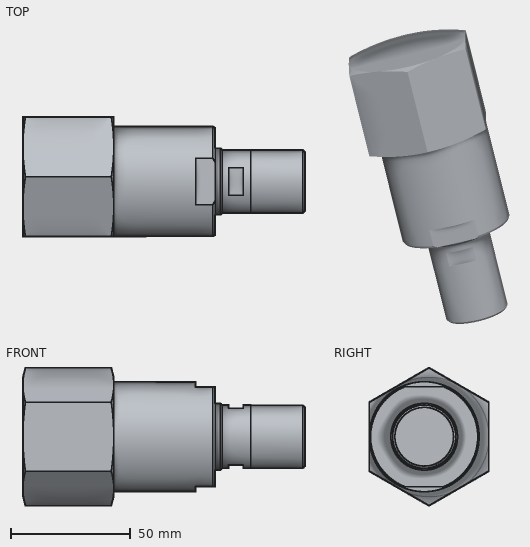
import cadquery as cq
import math

across_flats = 50.0
head_length = 38.0
head_bevel_angle = 15.0
rim_clearance = 1.2

axis_offset_y = -2.0

body_diameter = 46.0
body_end = 80.4
body_chamfer_length = 1.0
body_chamfer_depth = 0.6
body_flat_start = 72.2
body_flat_height = 20.9

collar_diameter = 28.0
collar_end = 82.6
land_start = 83.3
land_diameter = 26.5
land_end = 95.3
shaft_diameter = 26.4
tip_diameter = 24.5
total_length = 118.0
shaft_flat_start = 86.0
shaft_flat_end = 92.0
shaft_flat_height = 11.9


def revolve_profile(outline):
    """Solid of revolution about X from (x, radius) points."""
    closed = [(outline[0][0], 0)] + outline + [(outline[-1][0], 0)]
    return cq.Workplane("XY").polyline(closed).close().revolve(360, (0, 0, 0), (1, 0, 0))


def make_head():
    """Hexagonal prism, corners up and down, bevelled by a cone at both ends."""
    across_corners = across_flats / math.cos(math.pi / 6)
    hexagon = (
        cq.Workplane("YZ")
        .polygon(6, across_corners)
        .extrude(head_length)
        .rotate((0, 0, 0), (1, 0, 0), 90)
    )
    face_radius = across_flats / 2
    rim_radius = across_corners / 2 + rim_clearance
    bevel_length = (rim_radius - face_radius) * math.tan(math.radians(head_bevel_angle))
    bevel_envelope = revolve_profile([
        (0, face_radius),
        (bevel_length, rim_radius),
        (head_length - bevel_length, rim_radius),
        (head_length, face_radius),
    ])
    return hexagon.intersect(bevel_envelope)


def make_turned_section():
    """Body, tapered collar, land and chamfered shaft."""
    body_radius = body_diameter / 2
    tip_chamfer = (shaft_diameter - tip_diameter) / 2
    return revolve_profile([
        (head_length, body_radius),
        (body_end - body_chamfer_length, body_radius),
        (body_end, body_radius - body_chamfer_depth),
        (body_end, collar_diameter / 2),
        (collar_end, collar_diameter / 2),
        (land_start, land_diameter / 2),
        (land_end, land_diameter / 2),
        (land_end, shaft_diameter / 2),
        (total_length - tip_chamfer, shaft_diameter / 2),
        (total_length, tip_diameter / 2),
    ])


def cut_flats(part, start, end, height):
    """Cut opposite flats at +Z and -Z, each at the given height from the axis."""
    upper = cq.Workplane("XY").box(
        end - start, body_diameter, body_diameter, centered=(False, True, False)
    ).translate((start, 0, height))
    return part.cut(upper).cut(upper.mirror("XY"))


turned_section = make_turned_section()
turned_section = cut_flats(turned_section, body_flat_start, body_end, body_flat_height)
turned_section = cut_flats(turned_section, shaft_flat_start, shaft_flat_end, shaft_flat_height)
result = make_head().union(turned_section.translate((0, axis_offset_y, 0)))